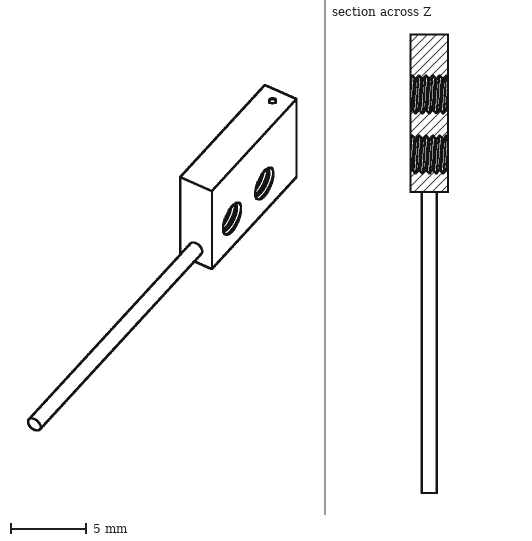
import cadquery as cq
import math

block_width = 2.5
block_length = 10.5
block_height = 7.2
overall_length = 30.5
block_front = overall_length - block_length
middle_x = block_width / 2

cable_diameter = 1.0
cable_height = 1.25

lamp_diameter = 0.5
lamp_end_distance = 1.0
lamp_depth = 0.1

hole_spacing = 4.0
hole_height = 2.5
hole_end_distance = 4.0
thread_minor_diameter = 2.1
thread_major_diameter = 2.5
minor_radius = thread_minor_diameter / 2
major_radius = thread_major_diameter / 2
thread_pitch = 0.45
thread_groove_width = 0.4
groove_overlap = 0.03


def make_block():
    block = cq.Workplane("XY").box(block_width, block_length, block_height, centered=False)
    return block.translate((0, block_front, 0))


def make_cable():
    return (
        cq.Workplane("XZ", origin=(middle_x, block_front, cable_height))
        .circle(cable_diameter / 2)
        .extrude(block_front)
    )


def make_lamp_recess():
    lamp_y = overall_length - lamp_end_distance
    return (
        cq.Workplane("XY", origin=(middle_x, lamp_y, block_height))
        .circle(lamp_diameter / 2)
        .extrude(-lamp_depth)
    )


def make_bore():
    return cq.Workplane("YZ").circle(minor_radius).extrude(block_width)


def make_thread_groove():
    """Right-hand V groove along +X, at the bottom of the bore where X is 0."""
    turns = math.ceil(block_width / thread_pitch) + 2
    helix = cq.Wire.makeHelix(thread_pitch, turns * thread_pitch, minor_radius)
    inner_radius = minor_radius - groove_overlap
    groove = (
        cq.Workplane("XZ")
        .moveTo(inner_radius, -thread_groove_width / 2)
        .lineTo(major_radius, 0)
        .lineTo(inner_radius, thread_groove_width / 2)
        .close()
        .sweep(cq.Workplane(obj=helix), isFrenet=True)
        .translate((0, 0, -thread_pitch))
    )
    return groove.rotate((0, 0, 0), (0, 1, 0), 90)


result = make_block().union(make_cable()).cut(make_lamp_recess())
bore = make_bore()
thread_groove = make_thread_groove()
for hole_index in range(2):
    hole_y = overall_length - hole_end_distance - hole_index * hole_spacing
    hole_position = (0, hole_y, hole_height)
    result = result.cut(thread_groove.translate(hole_position))
    result = result.cut(bore.translate(hole_position))